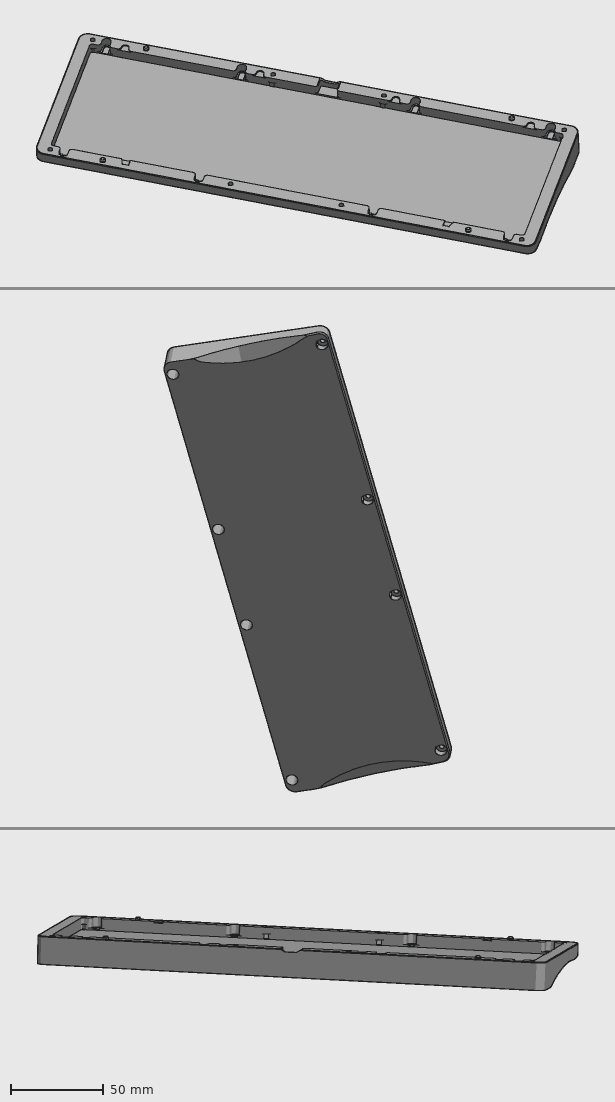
import cadquery as cq
import math

LENGTH = 281.6
DEPTH = 91.3
TILT = 7.0
RIM_HEIGHT = 12.5
WALL_HEIGHT = 15.5
CORNER_RADIUS = 5.0
RIM_CHAMFER = 0.42
BOTTOM_CHAMFER = 0.7

POCKET_LENGTH = 267.0
POCKET_WIDTH = 77.0
POCKET_DEPTH = 6.5
POCKET_CORNER_RADIUS = 1.7

MOUTH_RADIUS = 1.7
CLIP_X = (49.0, 125.3)
CLIP_WIDTH = 5.0
CLIP_REACH = 6.0
CLIP_DEPTH = 5.4
CLIP_GROOVE_WIDTH = 3.5
CLIP_GROOVE_DEPTH = 0.5
FINGER_X = (38.3, 114.3)
FINGER_WIDTH = 4.2
FINGER_REACH = 4.0
FINGER_DEPTH = 0.8
TAB_INNER_X = 88.7
TAB_MOUTH_WIDTH = 4.8
TAB_END_WIDTH = 3.5
TAB_REACH = 3.7
TAB_DEPTH = 0.8

CABLE_WIDTH = 10.7
CABLE_REACH = 6.0
CABLE_DEPTH = 5.4
CABLE_CORNER_RADIUS = 0.8
DIP_TOP_WIDTH = 11.8
DIP_BOTTOM_WIDTH = 6.2
DIP_DEPTH = 1.7

SCREW_Y = 41.5
SCREW_X = (31.3, 133.0)
SCREW_DIAMETER = 2.5
SCREW_HEAD_DIAMETER = 6.5
SCREW_HEAD_TOP = 3.7
PIN_X = 103.0
PIN_Y = 42.2
PIN_DIAMETER = 3.0
PIN_HEIGHT = 1.5
PIN_CHAMFER = 0.7

SCOOP_RADIUS = 169.0
SCOOP_RISE = 3.7
SCOOP_REACH = 8.5
SCOOP_Y = -1.7

OVERCUT = 2.8
SIDES = (-1, 1)


def tilted(shape):
    """Move a shape from the rim's own frame (rim plane at z = 0) to the standing part."""
    return shape.rotate((0, 0, 0), (1, 0, 0), TILT).translate((0, 0, RIM_HEIGHT))


def body():
    block = (
        cq.Workplane("XY")
        .rect(LENGTH, DEPTH)
        .extrude(-WALL_HEIGHT)
        .edges("|Z")
        .fillet(CORNER_RADIUS)
        .faces(">Z")
        .chamfer(RIM_CHAMFER)
    )
    above_ground = cq.Workplane("XY").box(2 * LENGTH, 2 * DEPTH, LENGTH, centered=(True, True, False))
    wedge = tilted(block).intersect(above_ground)
    return wedge.faces("<Z").chamfer(BOTTOM_CHAMFER)


def pocket():
    return (
        cq.Workplane("XY")
        .rect(POCKET_LENGTH, POCKET_WIDTH)
        .extrude(-POCKET_DEPTH)
        .edges("|Z")
        .fillet(POCKET_CORNER_RADIUS)
    )


def channel(width, reach, depth, end_radius):
    """A straight channel along +Y from the pocket wall (y = 0), rounded at its end."""
    half = width / 2
    straight = reach - end_radius
    end_flat = half - end_radius
    diagonal = end_radius * math.sqrt(0.5)
    outline = (
        cq.Workplane("XY")
        .moveTo(half, -OVERCUT)
        .lineTo(half, straight)
        .threePointArc((end_flat + diagonal, straight + diagonal), (end_flat, reach))
    )
    if end_flat > 0:
        outline = outline.lineTo(-end_flat, reach)
    outline = outline.threePointArc((-end_flat - diagonal, straight + diagonal), (-half, straight))
    return outline.lineTo(-half, -OVERCUT).close().extrude(-depth)


def notch(width, reach, depth, end_radius):
    """A channel whose mouth at the pocket wall is rounded on both sides."""
    half = width / 2
    offset = MOUTH_RADIUS * (1 - math.sqrt(0.5))
    flare_half = half + MOUTH_RADIUS
    mouth = (
        cq.Workplane("XY")
        .moveTo(flare_half, -OVERCUT)
        .lineTo(flare_half, 0)
        .threePointArc((half + offset, offset), (half, MOUTH_RADIUS))
        .lineTo(-half, MOUTH_RADIUS)
        .threePointArc((-half - offset, offset), (-flare_half, 0))
        .lineTo(-flare_half, -OVERCUT)
        .close()
        .extrude(-depth)
    )
    return mouth.union(channel(width, reach, depth, end_radius))


def clip_notch():
    """A rounded notch with a narrower groove let into its floor."""
    groove_inset = (CLIP_WIDTH - CLIP_GROOVE_WIDTH) / 2
    groove = channel(
        CLIP_GROOVE_WIDTH,
        CLIP_REACH - groove_inset,
        CLIP_DEPTH + CLIP_GROOVE_DEPTH,
        CLIP_GROOVE_WIDTH / 2,
    )
    return notch(CLIP_WIDTH, CLIP_REACH, CLIP_DEPTH, CLIP_WIDTH / 2).union(groove)


def on_back(cutter, x):
    return cutter.translate((x, POCKET_WIDTH / 2, 0))


def on_front(cutter, x):
    return cutter.rotate((0, 0, 0), (0, 0, 1), 180).translate((x, -POCKET_WIDTH / 2, 0))


def tab_notch(side):
    """A shallow front notch with one square flank and one slanted flank."""
    wall_y = -POCKET_WIDTH / 2
    end_y = wall_y - TAB_REACH
    mouth_x = TAB_INNER_X + TAB_MOUTH_WIDTH
    return (
        cq.Workplane("XY")
        .polyline([
            (side * TAB_INNER_X, wall_y + OVERCUT),
            (side * TAB_INNER_X, end_y),
            (side * (TAB_INNER_X + TAB_END_WIDTH), end_y),
            (side * mouth_x, wall_y),
            (side * mouth_x, wall_y + OVERCUT),
        ])
        .close()
        .extrude(-TAB_DEPTH)
    )


def notches():
    clip = clip_notch()
    finger = notch(FINGER_WIDTH, FINGER_REACH, FINGER_DEPTH, FINGER_WIDTH / 2)
    cutters = []
    for side in SIDES:
        for x in CLIP_X:
            cutters.append(on_back(clip, side * x))
            cutters.append(on_front(clip, side * x))
        for x in FINGER_X:
            cutters.append(on_back(finger, side * x))
        cutters.append(tab_notch(side))
    cutters.append(on_back(notch(CABLE_WIDTH, CABLE_REACH, CABLE_DEPTH, CABLE_CORNER_RADIUS), 0))
    return cutters


def cable_dip():
    """A flared dip in the top of the thin wall behind the cable channel."""
    return (
        cq.Workplane("XZ", origin=(0, DEPTH / 2 + OVERCUT, 0))
        .polyline([
            (-DIP_TOP_WIDTH / 2, 0),
            (-DIP_BOTTOM_WIDTH / 2, -DIP_DEPTH),
            (DIP_BOTTOM_WIDTH / 2, -DIP_DEPTH),
            (DIP_TOP_WIDTH / 2, 0),
        ])
        .close()
        .extrude(DEPTH / 2 + OVERCUT - POCKET_WIDTH / 2 - MOUTH_RADIUS)
    )


def four_way(x_places, y):
    return [(i * x, j * y) for x in x_places for i in SIDES for j in SIDES]


def screw_holes():
    """Shank holes through the rim, and head bores rising from below that just break into the pocket."""
    places = four_way(SCREW_X, SCREW_Y)
    shanks = cq.Workplane("XY").pushPoints(places).circle(SCREW_DIAMETER / 2).extrude(-WALL_HEIGHT)
    heads = (
        cq.Workplane("XY", origin=(0, 0, -SCREW_HEAD_TOP))
        .pushPoints(places)
        .circle(SCREW_HEAD_DIAMETER / 2)
        .extrude(-WALL_HEIGHT)
    )
    return [shanks, heads]


def pins():
    root = PIN_HEIGHT / 2
    return (
        cq.Workplane("XY", origin=(0, 0, -root))
        .pushPoints(four_way([PIN_X], PIN_Y))
        .circle(PIN_DIAMETER / 2)
        .extrude(PIN_HEIGHT + root)
        .faces(">Z")
        .chamfer(PIN_CHAMFER)
    )


def side_scoop(side):
    """A slanted cylinder: a full arch at the outer face, running out to the ground inboard."""
    slope = math.atan2(SCOOP_RISE, SCOOP_REACH)
    run = cq.Vector(-side * math.cos(slope), 0, -math.sin(slope))
    down = cq.Vector(side * math.sin(slope), 0, -math.cos(slope))
    crown = cq.Vector(side * LENGTH / 2, SCOOP_Y, SCOOP_RISE)
    start = crown - run * SCOOP_REACH + down * SCOOP_RADIUS
    return cq.Workplane(cq.Solid.makeCylinder(SCOOP_RADIUS, 3 * SCOOP_REACH, start, run))


result = body()
for cutter in [pocket(), *notches(), cable_dip(), *screw_holes()]:
    result = result.cut(tilted(cutter))
for side in SIDES:
    result = result.cut(side_scoop(side))
result = result.union(tilted(pins()))